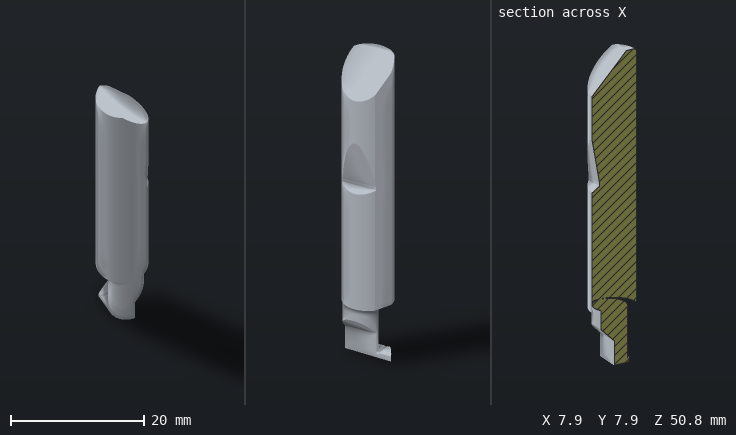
import cadquery as cq
import math

total_length = 50.8
shank_diameter = 7.9
shank_radius = shank_diameter / 2
shank_bottom = 9.55
end_chamfer_height = 0.3
end_chamfer_width = 0.4

slant_start_y = -2.2

flat_arc = 45

notch_top = 37.5
notch_floor_top = 30.35
notch_floor_bottom = 29.8
notch_bottom = 29.0
notch_floor_y = 2.65

neck_radius = 2.7
neck_center_x = shank_radius - neck_radius
relief_bottom = 4.1

head_top = 0.85
head_corner_x = -2.35
head_flank_middle = (-3.25, -1.3)
groove_radius = 0.2
groove_depth = 0.15
end_rise = 0.3

clearance = 2 * shank_diameter


def side_prism(points):
    """Extrude a (Y, Z) outline through the part along X."""
    return cq.Workplane("YZ").polyline(points).close().extrude(clearance, both=True)


def make_shank():
    profile = [
        (0, shank_bottom),
        (shank_radius, shank_bottom),
        (shank_radius, total_length - end_chamfer_height),
        (shank_radius - end_chamfer_width, total_length),
        (0, total_length),
    ]
    shank = cq.Workplane("XZ").polyline(profile).close().revolve(360, (0, 0), (0, 1))

    slant = side_prism([
        (slant_start_y, total_length),
        (slant_start_y + clearance, total_length),
        (slant_start_y + clearance, total_length - clearance),
    ])

    half_arc = flat_arc / 2
    flat_distance = shank_radius * math.cos(math.radians(half_arc))
    flat = (
        cq.Workplane("XY")
        .box(clearance, clearance, total_length, centered=(False, True, False))
        .translate((flat_distance, 0, 0))
        .rotate((0, 0, 0), (0, 0, 1), 180 - half_arc)
    )

    notch = side_prism([
        (shank_radius, notch_top),
        (notch_floor_y, notch_floor_top),
        (notch_floor_y, notch_floor_bottom),
        (shank_radius, notch_bottom),
    ])
    return shank.cut(slant).cut(flat).cut(notch)


def make_neck_and_head():
    neck = cq.Workplane("XY").center(neck_center_x, 0).circle(neck_radius).extrude(shank_bottom)
    head = (
        cq.Workplane("XY")
        .moveTo(-shank_radius, 0)
        .threePointArc(head_flank_middle, (head_corner_x, -neck_radius))
        .lineTo(neck_center_x, -neck_radius)
        .lineTo(neck_center_x, 0)
        .close()
        .extrude(head_top)
    )

    groove = (
        cq.Workplane("XZ")
        .center(neck_center_x - neck_radius - groove_radius, head_top - groove_depth + groove_radius)
        .circle(groove_radius)
        .extrude(neck_radius)
    )

    relief = side_prism([
        (0, 0),
        (0, relief_bottom),
        (neck_radius, relief_bottom + neck_radius),
        (neck_radius, 0),
    ])

    end_clearance = (
        cq.Workplane("XZ")
        .polyline([(-shank_radius, 0), (shank_radius, 0), (shank_radius, end_rise)])
        .close()
        .extrude(clearance, both=True)
    )
    return neck.union(head.cut(groove)).cut(relief).cut(end_clearance)


result = make_shank().union(make_neck_and_head())